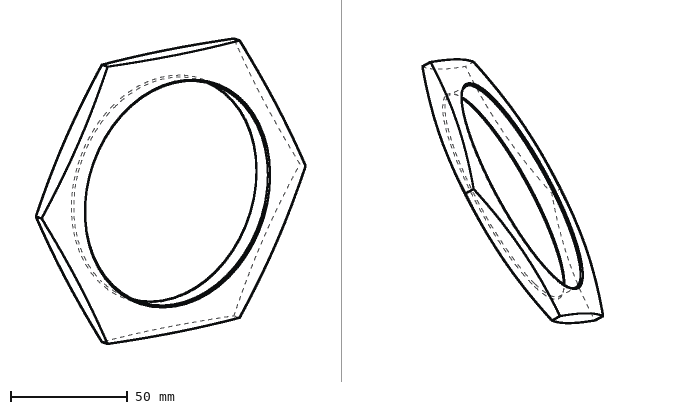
import cadquery as cq
import math

corner_diameter = 142.0
thickness = 9.5
face_diameter = 121.9
chamfer_angle = 15.0
bore_diameter = 98.3
bore_chamfer = 0.7

corner_radius = corner_diameter / 2
face_radius = face_diameter / 2
half_thickness = thickness / 2
corner_drop = (corner_radius - face_radius) * math.tan(math.radians(chamfer_angle))
edge_half_width = half_thickness - corner_drop


def hexagon_blank():
    """Hexagonal plate with two corners on the Y axis."""
    return (
        cq.Workplane("YZ")
        .polygon(6, corner_diameter)
        .extrude(half_thickness, both=True)
    )


def chamfer_envelope():
    """Solid of revolution about X whose conical ends trim the hexagon corners."""
    return (
        cq.Workplane("XY")
        .moveTo(-half_thickness, 0)
        .lineTo(-half_thickness, face_radius)
        .lineTo(-edge_half_width, corner_radius)
        .lineTo(edge_half_width, corner_radius)
        .lineTo(half_thickness, face_radius)
        .lineTo(half_thickness, 0)
        .close()
        .revolve(360, (0, 0, 0), (1, 0, 0))
    )


def bore_cutter():
    """Through bore flared by a 45 degree chamfer at both ends."""
    bore_radius = bore_diameter / 2
    mouth_radius = bore_radius + bore_chamfer
    bore_half_length = half_thickness - bore_chamfer
    return (
        cq.Workplane("XY")
        .moveTo(-half_thickness, 0)
        .lineTo(-half_thickness, mouth_radius)
        .lineTo(-bore_half_length, bore_radius)
        .lineTo(bore_half_length, bore_radius)
        .lineTo(half_thickness, mouth_radius)
        .lineTo(half_thickness, 0)
        .close()
        .revolve(360, (0, 0, 0), (1, 0, 0))
    )


result = hexagon_blank().intersect(chamfer_envelope()).cut(bore_cutter())